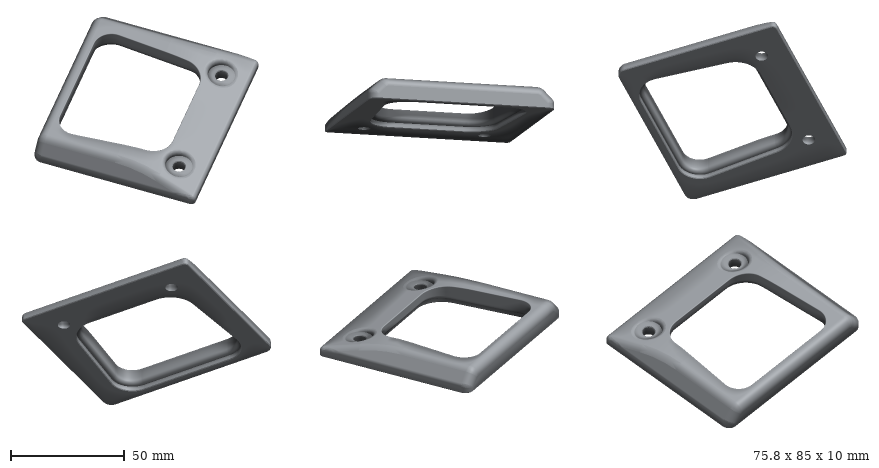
import cadquery as cq
import math

LENGTH = 75.8
WIDTH = 85.0
HEIGHT = 10.0
SIDE_HEIGHT = 4.0

BEND_START = 37.1
BEND_RADIUS = 100.0
SLOPE = math.radians(12)

CROWN_ROUND = 5.0
LEFT_END_ROUND = 4.0
SMALL_ROUND = 2.0
BASE_CHAMFER = 0.3

WINDOW_LEFT = 5.8
WINDOW_RIGHT = 56.6
WINDOW_HALF_LEFT = 30.7
WINDOW_HALF_RIGHT = 26.2
WINDOW_LEFT_CORNER = 8.0
WINDOW_RIGHT_CORNER = 10.0
RIM_ROUND = 0.3
RECESS_MARGIN = 2.0
RECESS_HEIGHT = 2.4
LIP_ROUND = 1.95

HOLE_X = 63.3
HOLE_Y = 27.5
HOLE_DIAMETER = 5.5
HOLE_CHAMFER = 0.3
SEAT_DIAMETER = 12.0
SEAT_Z = 5.0
SEAT_ROUND = 2.0

CLEARANCE = 0.04


def within(x_range, y_range, z_range):
    """Selector for items that lie wholly inside the given ranges."""
    low, high = zip(x_range, y_range, z_range)
    return cq.selectors.BoxSelector(
        [value - CLEARANCE for value in low],
        [value + CLEARANCE for value in high],
        boundingbox=True,
    )


def bend_point(angle):
    """Point (x, z) on the arc of the top face where it slopes by the given angle."""
    return (
        BEND_START + BEND_RADIUS * math.sin(angle),
        HEIGHT - BEND_RADIUS * (1 - math.cos(angle)),
    )


def make_blank():
    """Plate with its bent top face and sloping long sides, all edges sharp."""
    bend_end = bend_point(SLOPE)
    right_end_z = bend_end[1] - (LENGTH - bend_end[0]) * math.tan(SLOPE)
    lengthwise = (
        cq.Workplane("XZ")
        .lineTo(0, HEIGHT)
        .lineTo(BEND_START, HEIGHT)
        .threePointArc(bend_point(SLOPE / 2), bend_end)
        .lineTo(LENGTH, right_end_z)
        .lineTo(LENGTH, 0)
        .close()
        .extrude(WIDTH / 2, both=True)
    )
    half_base = WIDTH / 2
    half_top = half_base - (HEIGHT - SIDE_HEIGHT)
    crosswise = (
        cq.Workplane("YZ")
        .moveTo(-half_base, 0)
        .lineTo(-half_base, SIDE_HEIGHT)
        .lineTo(-half_top, HEIGHT)
        .lineTo(half_top, HEIGHT)
        .lineTo(half_base, SIDE_HEIGHT)
        .lineTo(half_base, 0)
        .close()
        .extrude(LENGTH)
    )
    return lengthwise.intersect(crosswise)


def round_outside(body):
    """Round the crown, the long sides and both ends, then chamfer the base."""
    crown_start = within((0, BEND_START), (-WIDTH / 2, WIDTH / 2), (HEIGHT, HEIGHT))
    body = body.edges(crown_start).edges("|X").fillet(CROWN_ROUND)
    side_creases = within((0, LENGTH), (-WIDTH / 2, WIDTH / 2), (SIDE_HEIGHT, SIDE_HEIGHT))
    body = body.edges(side_creases).edges("|X").fillet(SMALL_ROUND)
    body = body.faces("<X").edges("not <Z").fillet(LEFT_END_ROUND)
    body = body.faces(">X").edges("not <Z").fillet(SMALL_ROUND)
    return body.faces("<Z").chamfer(BASE_CHAMFER)


def make_window():
    """Full-height prism of the opening."""
    return (
        cq.Workplane("XY")
        .moveTo(WINDOW_LEFT, -WINDOW_HALF_LEFT)
        .lineTo(WINDOW_RIGHT, -WINDOW_HALF_RIGHT)
        .lineTo(WINDOW_RIGHT, WINDOW_HALF_RIGHT)
        .lineTo(WINDOW_LEFT, WINDOW_HALF_LEFT)
        .close()
        .extrude(HEIGHT)
        .edges("|Z and <X").fillet(WINDOW_LEFT_CORNER)
        .edges("|Z and >X").fillet(WINDOW_RIGHT_CORNER)
    )


def cut_window(body):
    """Cut the opening and its recess, and soften their edges."""
    window = make_window()
    outline = window.faces("<Z").wires().vals()
    recess = (
        cq.Workplane("XY").add(outline).toPending()
        .offset2D(RECESS_MARGIN)
        .extrude(RECESS_HEIGHT)
    )
    body = body.cut(window).cut(recess)

    x_range = (WINDOW_LEFT, WINDOW_RIGHT)
    y_range = (-WINDOW_HALF_LEFT, WINDOW_HALF_LEFT)
    rim = within(x_range, y_range, (HEIGHT / 2, HEIGHT))
    body = body.edges(rim).edges("not |Z").fillet(RIM_ROUND)
    lip = within(x_range, y_range, (RECESS_HEIGHT, RECESS_HEIGHT))
    body = body.edges(lip).fillet(LIP_ROUND)

    recess_mouth = within(
        (WINDOW_LEFT - RECESS_MARGIN, WINDOW_RIGHT + RECESS_MARGIN),
        (-WINDOW_HALF_LEFT - RECESS_MARGIN, WINDOW_HALF_LEFT + RECESS_MARGIN),
        (0, 0),
    )
    return body.edges(recess_mouth).chamfer(BASE_CHAMFER)


def cut_screw_hole(body, y):
    """Sink a round-edged seat into the slope and drill a chamfered hole through it."""
    seat_radius = SEAT_DIAMETER / 2
    seat_plane = cq.Workplane("XY", origin=(HOLE_X, y, SEAT_Z))
    body = body.cut(seat_plane.circle(seat_radius).extrude(HEIGHT))
    mouth = within(
        (HOLE_X - seat_radius, HOLE_X + seat_radius),
        (y - seat_radius, y + seat_radius),
        (SEAT_Z + 2 * CLEARANCE, HEIGHT),
    )
    body = body.edges(mouth).edges("not |Z").fillet(SEAT_ROUND)

    hole = seat_plane.circle(HOLE_DIAMETER / 2).extrude(-SEAT_Z)
    countersink = (
        seat_plane.circle(HOLE_DIAMETER / 2 + HOLE_CHAMFER)
        .extrude(-HOLE_CHAMFER, taper=45)
    )
    return body.cut(hole).cut(countersink)


plate = cut_window(round_outside(make_blank()))
for hole_y in (-HOLE_Y, HOLE_Y):
    plate = cut_screw_hole(plate, hole_y)

result = plate.solids()